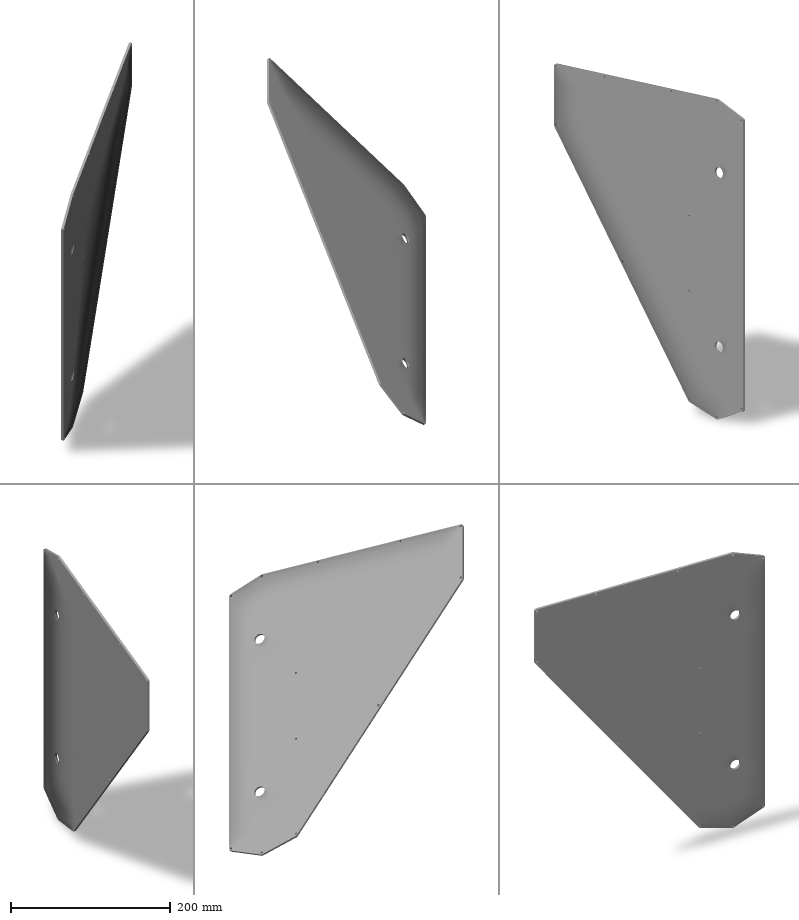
import cadquery as cq
import math

thickness = 3.17
width_y = 325.6
height_z = 413.81
half_width = width_y / 2
half_height = height_z / 2

bevel_y = -117.8
bevel_z = 188.6
toe_y = -69.2
toe_z = -192.0
slope_start_z = 126.2
corner_radius = 2.79

rim_hole_diameter = 3.05
rim_hole_margin = 2.79
bevel_hole_y = -117.4
bevel_hole_z = 186.5
slope_start_hole_z = 128.3
slope_hole_y = 45.0
slope_hole_z = -29.8
top_hole_ys = [76.2, -39.2]

toe_hole_diameter = 2.54
toe_hole_y = -69.75
toe_hole_z = -188.7

inner_hole_diameter = 2.79
inner_hole_y = -69.8
inner_hole_z = 48.6
large_hole_diameter = 13.97
large_hole_y = -120.75
large_hole_z = 112.65


def tip_rounding_loss():
    """Height that rounding takes off the bottom tip, between the lower bevel and the toe edge."""
    bevel_angle = math.atan2(half_height - bevel_z, half_width + bevel_y)
    toe_angle = math.atan2(half_height + toe_z, toe_y - bevel_y)
    centre_height = (math.sin(bevel_angle) + math.sin(toe_angle)) / math.sin(bevel_angle + toe_angle)
    return corner_radius * (centre_height - 1)


def make_plate():
    """Seven-sided plate lying in the YZ plane, with its corners rounded."""
    outline = [
        (half_width, half_height),
        (bevel_y, half_height),
        (-half_width, bevel_z),
        (-half_width, -bevel_z),
        (bevel_y, -half_height - tip_rounding_loss()),
        (toe_y, toe_z),
        (half_width, slope_start_z),
    ]
    plate = cq.Workplane("YZ", origin=(-thickness / 2, 0, 0)).polyline(outline).close().extrude(thickness)
    return plate.edges("|X").fillet(corner_radius)


def mirrored_pair(y, z):
    """Two centres at equal heights above and below the middle of the plate."""
    return [(y, z), (y, -z)]


def rim_hole_centres():
    """Small holes just inside the edges of the plate, except the toe hole."""
    side_y = half_width - rim_hole_margin
    top_z = half_height - rim_hole_margin
    top_row = [(y, top_z) for y in [side_y] + top_hole_ys]
    bevel_ends = mirrored_pair(bevel_hole_y, top_z) + mirrored_pair(-side_y, bevel_hole_z)
    slope = [(side_y, slope_start_hole_z), (slope_hole_y, slope_hole_z)]
    return top_row + bevel_ends + slope


def drill(plate, centres, diameter):
    """Cut holes along X, right through the plate, at the given (y, z) centres."""
    cutters = (
        cq.Workplane("YZ", origin=(-thickness, 0, 0))
        .pushPoints(centres)
        .circle(diameter / 2)
        .extrude(2 * thickness)
    )
    return plate.cut(cutters)


result = make_plate()
result = drill(result, rim_hole_centres(), rim_hole_diameter)
result = drill(result, [(toe_hole_y, toe_hole_z)], toe_hole_diameter)
result = drill(result, mirrored_pair(inner_hole_y, inner_hole_z), inner_hole_diameter)
result = drill(result, mirrored_pair(large_hole_y, large_hole_z), large_hole_diameter)